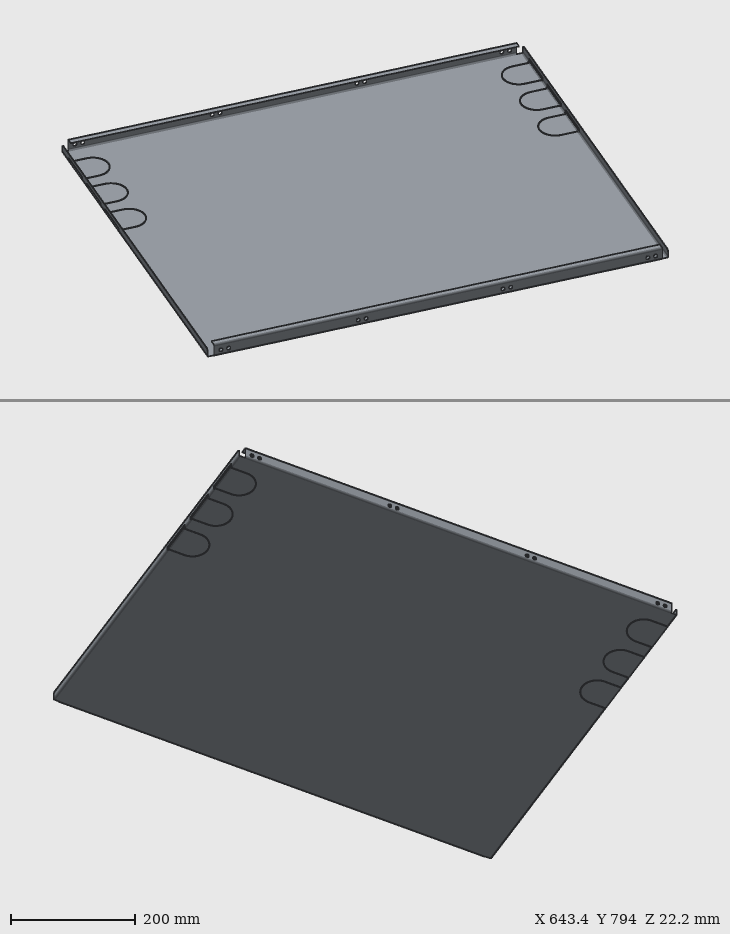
import cadquery as cq

LENGTH_X = 643.4
LENGTH_Y = 794.0
HEIGHT = 22.2

SHEET = 1.2
BEND_INNER = 1.0
BEND_OUTER = BEND_INNER + SHEET

SIDE_WALL_LENGTH = 772.0
LIP_WIDTH = 12.5

END_WALL_LENGTH = 639.0
END_WALL_HEIGHT = 15.0
END_WALL_CORNER_RADIUS = 5.0

TONGUE_CENTERS = (-261.7, -181.7, -101.7)
TONGUE_WIDTH = 53.2
TONGUE_DEPTH = 57.0
SLIT_WIDTH = 1.0
WINDOW_WIDTH = 60.5
WINDOW_TOP = 6.5

HOLE_DIAMETER = 6.4
HOLE_HEIGHT = 9.5
HOLE_SPACING = 13.5
HOLE_PAIR_CENTERS = (367.5, 118.0, -131.0, -367.5)

HALF_X = LENGTH_X / 2
HALF_Y = LENGTH_Y / 2
FLOOR_EDGE_Y = HALF_Y - BEND_OUTER


def solid_box(x_range, y_range, z_range):
    """Axis-aligned box given by its limits."""
    size = [high - low for low, high in (x_range, y_range, z_range)]
    corner = (x_range[0], y_range[0], z_range[0])
    return cq.Workplane("XY").box(*size, centered=False).translate(corner)


def side_profile_strip():
    """Floor with both side walls and lips, as long as the side walls."""
    lip_tip = HALF_X - LIP_WIDTH
    inner_x = HALF_X - SHEET
    outer = (
        cq.Workplane("XZ")
        .rect(LENGTH_X, HEIGHT)
        .extrude(SIDE_WALL_LENGTH / 2, both=True)
        .edges("|Y")
        .fillet(BEND_OUTER)
    )
    cavity = (
        cq.Workplane("XZ")
        .rect(2 * inner_x, HEIGHT - 2 * SHEET)
        .extrude(SIDE_WALL_LENGTH / 2, both=True)
        .edges("|Y")
        .fillet(BEND_INNER)
    )
    strip = outer.cut(cavity).translate((0, 0, HEIGHT / 2))
    half_length = SIDE_WALL_LENGTH / 2
    mouth = solid_box(
        (-lip_tip, lip_tip), (-half_length, half_length), (HEIGHT / 2, HEIGHT)
    )
    return strip.cut(mouth)


def end_flanges():
    """Both end walls with their bends and the floor edge beyond the side walls."""
    outer = (
        cq.Workplane("YZ")
        .rect(LENGTH_Y, 2 * END_WALL_HEIGHT)
        .extrude(END_WALL_LENGTH / 2, both=True)
        .edges("|X and <Z")
        .fillet(BEND_OUTER)
    )
    cavity = (
        cq.Workplane("YZ")
        .rect(LENGTH_Y - 2 * SHEET, 2 * (END_WALL_HEIGHT - SHEET))
        .extrude(END_WALL_LENGTH / 2, both=True)
        .edges("|X and <Z")
        .fillet(BEND_INNER)
    )
    half_x = END_WALL_LENGTH / 2
    half_side = SIDE_WALL_LENGTH / 2
    upper_half = solid_box((-half_x, half_x), (-HALF_Y, HALF_Y), (0, END_WALL_HEIGHT))
    middle = solid_box((-half_x, half_x), (-half_side, half_side), (-END_WALL_HEIGHT, 0))
    strip = outer.cut(cavity).cut(upper_half).cut(middle)
    strip = strip.edges("|Y and >Z").fillet(END_WALL_CORNER_RADIUS)
    return strip.translate((0, 0, END_WALL_HEIGHT))


def tongue_blank(center_x, width, depth):
    """Round-ended tongue at the +Y end, running in from the end bend."""
    radius = width / 2
    tip_y = HALF_Y - depth
    return (
        cq.Workplane("XY")
        .moveTo(center_x - radius, FLOOR_EDGE_Y)
        .lineTo(center_x - radius, tip_y + radius)
        .threePointArc((center_x, tip_y), (center_x + radius, tip_y + radius))
        .lineTo(center_x + radius, FLOOR_EDGE_Y)
        .close()
        .extrude(SHEET)
    )


def tongue_cut(center_x):
    """U-shaped slit around a tongue, plus the window in the end wall."""
    outline = tongue_blank(center_x, TONGUE_WIDTH + 2 * SLIT_WIDTH, TONGUE_DEPTH + SLIT_WIDTH)
    slit = outline.cut(tongue_blank(center_x, TONGUE_WIDTH, TONGUE_DEPTH))
    window = solid_box(
        (center_x - WINDOW_WIDTH / 2, center_x + WINDOW_WIDTH / 2),
        (FLOOR_EDGE_Y, HALF_Y),
        (SHEET, WINDOW_TOP),
    )
    return slit.union(window)


def side_holes():
    """Cylinders crossing the whole tray at every side-wall hole."""
    centers = [
        (pair_y + offset, HOLE_HEIGHT)
        for pair_y in HOLE_PAIR_CENTERS
        for offset in (-HOLE_SPACING / 2, HOLE_SPACING / 2)
    ]
    return (
        cq.Workplane("YZ")
        .pushPoints(centers)
        .circle(HOLE_DIAMETER / 2)
        .extrude(HALF_X, both=True)
    )


def build_tray():
    tray = side_profile_strip().union(end_flanges())
    for center_x in TONGUE_CENTERS:
        cutter = tongue_cut(center_x)
        tray = tray.cut(cutter).cut(cutter.mirror("XZ"))
    return tray.cut(side_holes())


result = build_tray()